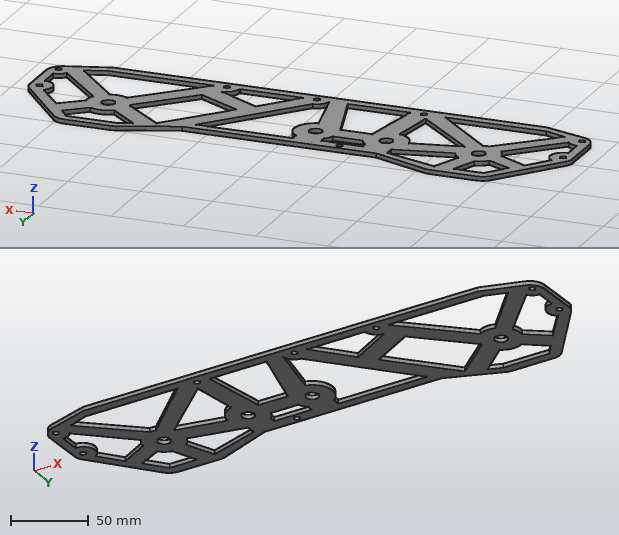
import cadquery as cq

length = 375.5
width = 102.0
thickness = 3.0

half_length = length / 2
lower_corner_x = 149.8
end_low_y = 11.5
end_high_y = 52.5
hump_outer_x = 148.0
hump_inner_x = 108.5
waist_x = 67.2
waist_y = 86.5
end_low_radius = 11.3
end_high_radius = 9.0
hump_radius = 11.3

large_hole_diameter = 9.0
large_pad_radius = 15.0
large_hole_y = 62.0
outer_large_x = 128.0
large_holes = [(x, large_hole_y) for x in (-outer_large_x, -64.2, -15.5, outer_large_x)]

small_hole_diameter = 4.0
small_pad_radius = 9.0
end_hole_x = 181.0
end_hole_rows = (15.8, 48.5)
end_holes = [(side * end_hole_x, y) for side in (-1, 1) for y in end_hole_rows]
lower_hole_y = 6.8
plain_lower_hole = (-68.0, lower_hole_y)
padded_lower_holes = [(6.0, lower_hole_y), (68.5, lower_hole_y)]
upper_hole = (-39.8, 82.0)

lower_rail_y = 7.0
upper_rail_y = 79.5
end_rail_x = 181.0
left_top_y = 94.5
right_top_y = 95.5
crossbar_top_y = 67.2
crossbar_bottom_y = 53.5

windows = [
    [(-144.5, left_top_y), (-124.0, left_top_y), (-134.0, 69.0), (-156.0, 80.0)],
    [(-110.5, left_top_y), (-73.2, 82.5), (-73.2, 76.0), (-122.5, 65.5)],
    [(-163.5, 71.7), (-136.3, 56.7), (-end_rail_x, 14.3), (-end_rail_x, 49.5)],
    [(-167.5, 12.5), (-152.8, lower_rail_y), (-83.0, lower_rail_y), (-127.0, 49.0)],
    [(-115.0, 53.3), (-65.5, 63.5), (-72.0, 14.3)],
    [(-54.0, 77.5), (-25.5, 77.5), (-25.5, crossbar_top_y), (-54.0, crossbar_top_y)],
    [(-51.0, crossbar_bottom_y), (-29.0, crossbar_bottom_y), (-15.5, lower_rail_y), (-58.5, lower_rail_y)],
    [(-6.8, upper_rail_y), (60.5, upper_rail_y), (-2.5, 6.5), (-14.5, large_hole_y), (-6.8, large_hole_y)],
    [(85.0, 86.5), (113.8, 61.5), (77.7, 26.3), (47.0, 43.5)],
    [(37.5, 33.5), (68.0, 16.0), (58.5, lower_rail_y), (15.5, lower_rail_y)],
    [(77.0, lower_rail_y), (149.8, lower_rail_y), (165.0, 12.0), (126.0, 54.8)],
    [(98.7, 92.0), (108.5, right_top_y), (143.5, right_top_y), (149.8, 87.0), (126.0, 68.0)],
    [(158.5, 76.0), (end_rail_x, 48.8), (end_rail_x, 12.8), (137.0, 59.5)],
]


def round_corner(body, x, y, radius):
    """Round the upright edges of body at (x, y) and at its mirror image."""
    for side in (-1, 1):
        nearest = cq.selectors.NearestToPointSelector((side * x, y, thickness / 2))
        body = body.edges("|Z").edges(nearest).fillet(radius)
    return body


def make_blank():
    """Solid plate with its outer profile and rounded corners."""
    right_half = [
        (lower_corner_x, 0),
        (half_length, end_low_y),
        (half_length, end_high_y),
        (hump_outer_x, width),
        (hump_inner_x, width),
        (waist_x, waist_y),
    ]
    left_half = [(-x, y) for x, y in reversed(right_half)]
    body = cq.Workplane("XY").polyline(right_half + left_half).close().extrude(thickness)
    body = round_corner(body, half_length, end_low_y, end_low_radius)
    body = round_corner(body, half_length, end_high_y, end_high_radius)
    body = round_corner(body, hump_outer_x, width, hump_radius)
    return round_corner(body, hump_inner_x, width, hump_radius)


def discs(centers, radius):
    """Round discs as thick as the plate."""
    return cq.Workplane("XY").pushPoints(centers).circle(radius).extrude(thickness)


def cut_windows(body):
    """Cut the windows, leaving the round pads standing."""
    large_pads = discs(large_holes, large_pad_radius)
    small_pads = discs(end_holes + padded_lower_holes, small_pad_radius)
    for corners in windows:
        window = cq.Workplane("XY").polyline(corners).close().extrude(thickness)
        body = body.cut(window.cut(large_pads).cut(small_pads))
    return body


def cut_holes(body):
    """Cut every large and small hole through the plate."""
    small_holes = end_holes + padded_lower_holes + [plain_lower_hole, upper_hole]
    body = body.cut(discs(large_holes, large_hole_diameter / 2))
    return body.cut(discs(small_holes, small_hole_diameter / 2))


result = cut_holes(cut_windows(make_blank()))